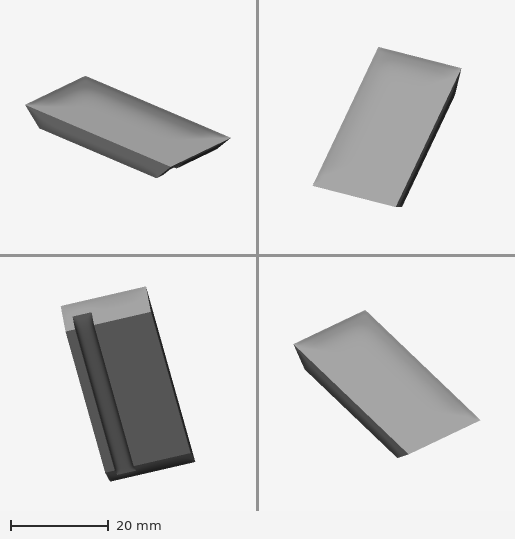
import cadquery as cq

length = 41.0
width = 18.05
thickness = 4.0

end_inset = thickness

groove_width = thickness
groove_depth = thickness / 2
front_wall = thickness / 2


def make_plate():
    """Trapezoidal X-Z profile extruded along Y, starting at the front face Y = 0."""
    half_top = length / 2
    half_bottom = half_top - end_inset
    profile = [
        (-half_bottom, 0),
        (half_bottom, 0),
        (half_top, thickness),
        (-half_top, thickness),
    ]
    return cq.Workplane("XZ").polyline(profile).close().extrude(-width)


def make_groove():
    """Rectangular cutter running through both sloped ends."""
    return (
        cq.Workplane("XY")
        .box(length, groove_width, groove_depth, centered=(True, False, False))
        .translate((0, front_wall, 0))
    )


result = make_plate().cut(make_groove())